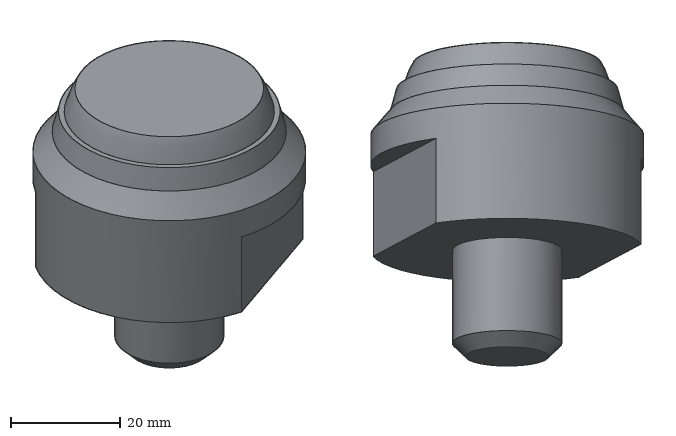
import cadquery as cq

total_height = 55.0
body_diameter = 50.0
shank_diameter = 20.0
shank_length = 20.0
shank_chamfer = 2.5
flat_top_z = 35.95
across_flats = 41.05

rim_z = 41.7
collar_bottom_z = 45.9
collar_top_z = 50.2

collar_bottom_radius = 21.45
collar_top_radius = 20.3
crown_base_radius = 19.25
crown_top_radius = 17.25
crown_mid_radius = 18.5

body_radius = body_diameter / 2
shank_radius = shank_diameter / 2
crown_mid_z = (collar_top_z + total_height) / 2


def turned_body():
    """Shank, body and crowned head revolved about Z."""
    profile = (
        cq.Workplane("XZ")
        .moveTo(0, 0)
        .lineTo(shank_radius - shank_chamfer, 0)
        .lineTo(shank_radius, shank_chamfer)
        .lineTo(shank_radius, shank_length)
        .lineTo(body_radius, shank_length)
        .lineTo(body_radius, rim_z)
        .lineTo(collar_bottom_radius, collar_bottom_z)
        .lineTo(collar_top_radius, collar_top_z)
        .lineTo(crown_base_radius, collar_top_z)
        .threePointArc((crown_mid_radius, crown_mid_z), (crown_top_radius, total_height))
        .lineTo(0, total_height)
        .close()
    )
    return profile.revolve(360, (0, 0, 0), (0, 1, 0))


def flat_cutter(side):
    """Block that removes the body beyond one wrench flat, on the +X or -X side."""
    depth = body_radius - across_flats / 2
    center_x = side * (across_flats / 2 + depth / 2)
    return (
        cq.Workplane("XY", origin=(center_x, 0, shank_length))
        .rect(depth, body_diameter)
        .extrude(flat_top_z - shank_length)
    )


result = turned_body()
for side in (-1, 1):
    result = result.cut(flat_cutter(side))